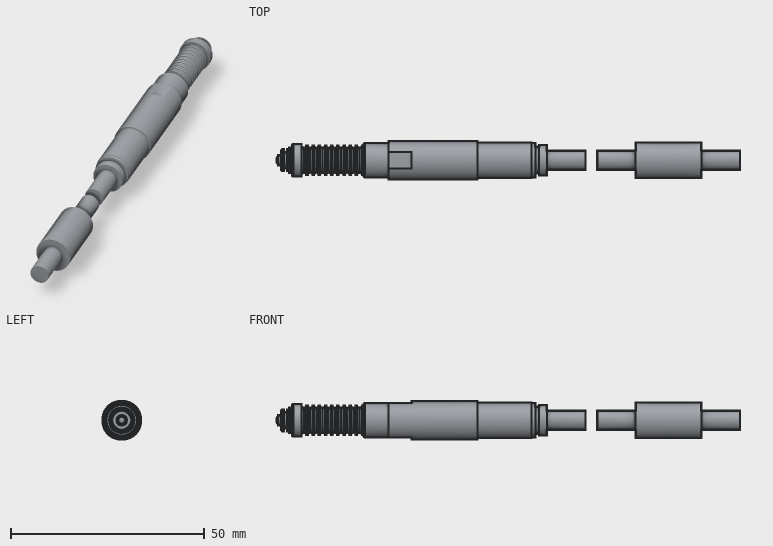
import cadquery as cq
TOTAL_LENGTH = 120.0
FRONT_X = -TOTAL_LENGTH / 2

PIN_DIA = 2.6
DOME_DIA = 1.9
DOME_LENGTH = 0.35
PIN_SHOULDER_LENGTH = 0.1
DISC_START = 1.2
DISC_DIA = 5.7
DISC_CHAMFER = 0.35
NECK_START = 2.0
NECK_END = 2.7
NECK_DIA = 4.2
FLANGE_START = 3.2
FLANGE_END = 3.6
FLANGE_DIA = 6.5

COLLAR_START = 4.0
COLLAR_FACE_DIA = 8.0
COLLAR_DIA = 8.5
COLLAR_CHAMFER_LENGTH = 0.4

GROOVES_START = 6.5
GROOVE_COUNT = 10
GROOVE_WIDTH = 1.2
RIB_WIDTH = 0.4
RIB_DIA = 7.6
GROOVE_EDGE_DIA = 7.0
GROOVE_FLOOR_DIA = 6.19
RIB_PITCH = GROOVE_WIDTH + RIB_WIDTH
GROOVES_END = GROOVES_START + GROOVE_COUNT * RIB_PITCH

FRONT_BARREL_DIA = 9.0
FRONT_BARREL_CHAMFER = 0.4
GRIP_START = 29.0
GRIP_END = 52.0
GRIP_DIA = 10.0
FLAT_LENGTH = 6.0
FLAT_SPACING = 9.0
REAR_BARREL_DIA = 9.3
REAR_STEP_START = 66.0
REAR_STEP_DIA = 9.0

CLIP_GROOVE_START = 67.0
CLIP_GROOVE_END = 68.0
CLIP_GROOVE_DIA = 7.0
END_RING_END = 70.0
END_RING_DIA = 8.0
CABLE_DIA = 5.0
CABLE_STUB_END = 80.0

FAR_CABLE_START = 83.0
SLEEVE_START = 93.0
SLEEVE_END = 110.0
SLEEVE_DIA = 9.3


def line_through(outline, stations):
    """Extend the half outline through (distance from the front end, diameter) stations."""
    for distance, diameter in stations:
        outline = outline.lineTo(FRONT_X + distance, diameter / 2)
    return outline


def domed_front():
    """Start the half outline on the axis with the rounded end of the pin."""
    dome_radius = DOME_DIA / 2
    sphere_radius = (dome_radius**2 + DOME_LENGTH**2) / (2 * DOME_LENGTH)
    half_height = dome_radius / 2
    half_height_x = sphere_radius - (sphere_radius**2 - half_height**2) ** 0.5
    return (
        cq.Workplane("XY")
        .moveTo(FRONT_X, 0)
        .threePointArc((FRONT_X + half_height_x, half_height), (FRONT_X + DOME_LENGTH, dome_radius))
    )


def tip_and_collar_stations():
    return [
        (DOME_LENGTH + PIN_SHOULDER_LENGTH, PIN_DIA),
        (DISC_START, PIN_DIA),
        (DISC_START, DISC_DIA - 2 * DISC_CHAMFER),
        (DISC_START + DISC_CHAMFER, DISC_DIA),
        (NECK_START, DISC_DIA),
        (NECK_START, NECK_DIA),
        (NECK_END, NECK_DIA),
        (NECK_END, DISC_DIA),
        (FLANGE_START, DISC_DIA),
        (FLANGE_START, FLANGE_DIA),
        (FLANGE_END, FLANGE_DIA),
        (FLANGE_END, DISC_DIA),
        (COLLAR_START, DISC_DIA),
        (COLLAR_START, COLLAR_FACE_DIA),
        (COLLAR_START + COLLAR_CHAMFER_LENGTH, COLLAR_DIA),
        (GROOVES_START, COLLAR_DIA),
    ]


def rib_stations(index):
    """One V-floored groove followed by its rib."""
    start = GROOVES_START + index * RIB_PITCH
    groove_end = start + GROOVE_WIDTH
    return [
        (start, GROOVE_EDGE_DIA),
        (start + GROOVE_WIDTH / 2, GROOVE_FLOOR_DIA),
        (groove_end, GROOVE_EDGE_DIA),
        (groove_end, RIB_DIA),
        (groove_end + RIB_WIDTH, RIB_DIA),
    ]


def body_and_stub_stations():
    return [
        (GROOVES_END, FRONT_BARREL_DIA - 2 * FRONT_BARREL_CHAMFER),
        (GROOVES_END + FRONT_BARREL_CHAMFER, FRONT_BARREL_DIA),
        (GRIP_START, FRONT_BARREL_DIA),
        (GRIP_START, GRIP_DIA),
        (GRIP_END, GRIP_DIA),
        (GRIP_END, REAR_BARREL_DIA),
        (REAR_STEP_START, REAR_BARREL_DIA),
        (REAR_STEP_START, REAR_STEP_DIA),
        (CLIP_GROOVE_START, REAR_STEP_DIA),
        (CLIP_GROOVE_START, CLIP_GROOVE_DIA),
        (CLIP_GROOVE_END, CLIP_GROOVE_DIA),
        (CLIP_GROOVE_END, END_RING_DIA),
        (END_RING_END, END_RING_DIA),
        (END_RING_END, CABLE_DIA),
        (CABLE_STUB_END, CABLE_DIA),
        (CABLE_STUB_END, 0),
    ]


def revolve_about_x(outline):
    return outline.close().revolve(360, (0, 0, 0), (1, 0, 0))


def make_probe():
    """Turned probe body with its cable stub and two wrench flats facing +Z and -Z."""
    outline = line_through(domed_front(), tip_and_collar_stations())
    for index in range(GROOVE_COUNT):
        outline = line_through(outline, rib_stations(index))
    outline = line_through(outline, body_and_stub_stations())
    probe = revolve_about_x(outline)

    flat_centre_x = FRONT_X + GRIP_START + FLAT_LENGTH / 2
    flat_cutter = cq.Workplane("XY").box(FLAT_LENGTH, GRIP_DIA, GRIP_DIA)
    for side in (1, -1):
        cutter_z = side * (FLAT_SPACING + GRIP_DIA) / 2
        probe = probe.cut(flat_cutter.translate((flat_centre_x, 0, cutter_z)))
    return probe


def make_far_cable():
    """Separate cable length carrying a cylindrical sleeve."""
    outline = cq.Workplane("XY").moveTo(FRONT_X + FAR_CABLE_START, 0)
    stations = [
        (FAR_CABLE_START, CABLE_DIA),
        (SLEEVE_START, CABLE_DIA),
        (SLEEVE_START, SLEEVE_DIA),
        (SLEEVE_END, SLEEVE_DIA),
        (SLEEVE_END, CABLE_DIA),
        (TOTAL_LENGTH, CABLE_DIA),
        (TOTAL_LENGTH, 0),
    ]
    return revolve_about_x(line_through(outline, stations))


probe = make_probe()
far_cable = make_far_cable()

result = cq.Compound.makeCompound([probe.val(), far_cable.val()])